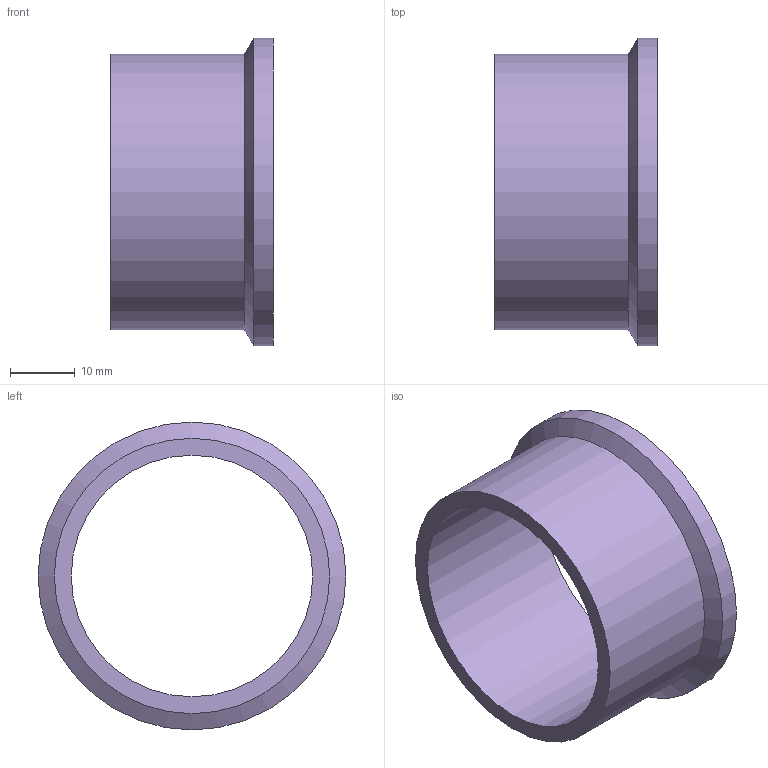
import cadquery as cq
import math

total_length = 25.0
sleeve_diameter = 42.4
bore_diameter = 37.2
collar_diameter = 47.4
collar_rim_width = 3.0
collar_cone_angle = 30.0

sleeve_radius = sleeve_diameter / 2
bore_radius = bore_diameter / 2
collar_radius = collar_diameter / 2
cone_length = (collar_radius - sleeve_radius) * math.tan(math.radians(collar_cone_angle))
rim_start = total_length - collar_rim_width
cone_start = rim_start - cone_length


def make_collared_sleeve():
    """Revolve the wall section, drawn as (x, radius), about the X axis."""
    wall_section = (
        cq.Workplane("XY")
        .moveTo(0, bore_radius)
        .lineTo(0, sleeve_radius)
        .lineTo(cone_start, sleeve_radius)
        .lineTo(rim_start, collar_radius)
        .lineTo(total_length, collar_radius)
        .lineTo(total_length, bore_radius)
        .close()
    )
    return wall_section.revolve(360, (0, 0, 0), (1, 0, 0))


result = make_collared_sleeve()